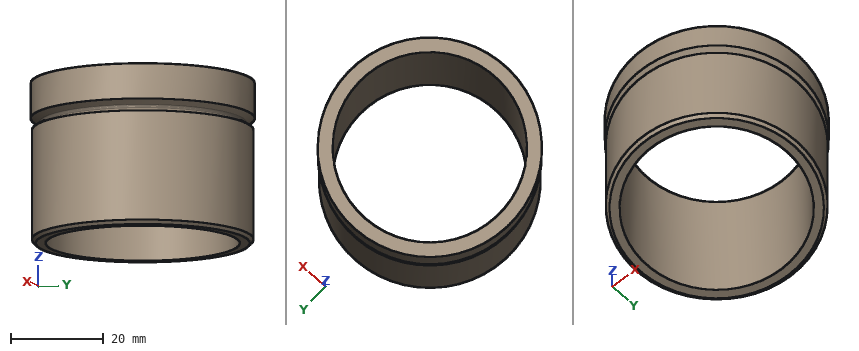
import cadquery as cq
import math

height = 35.0
collar_radius = 24.15
body_radius = 23.9
bore_radius = 20.9
collar_height = 7.75
bottom_chamfer = 0.8

groove_root_radius = 22.25
root_flat = 0.25
root_round = 0.25
flank_slope = math.radians(30)

tangent_radius = groove_root_radius + root_round * (1 - math.sin(flank_slope))
tangent_rise = root_flat / 2 + root_round * math.cos(flank_slope)

arc_middle_angle = (math.pi / 2 - flank_slope) / 2
arc_middle_radius = groove_root_radius + root_round * (1 - math.cos(arc_middle_angle))
arc_middle_rise = root_flat / 2 + root_round * math.sin(arc_middle_angle)


def groove_half_width(radius):
    """Height from the groove centre to its flank at a given radius."""
    return tangent_rise + (radius - tangent_radius) * math.tan(flank_slope)


collar_bottom = height - collar_height
groove_center = collar_bottom - groove_half_width(collar_radius)
body_top = groove_center - groove_half_width(body_radius)

section = (
    cq.Workplane("XZ")
    .moveTo(bore_radius, 0)
    .lineTo(body_radius - bottom_chamfer, 0)
    .lineTo(body_radius, bottom_chamfer)
    .lineTo(body_radius, body_top)
    .lineTo(tangent_radius, groove_center - tangent_rise)
    .threePointArc(
        (arc_middle_radius, groove_center - arc_middle_rise),
        (groove_root_radius, groove_center - root_flat / 2),
    )
    .lineTo(groove_root_radius, groove_center + root_flat / 2)
    .threePointArc(
        (arc_middle_radius, groove_center + arc_middle_rise),
        (tangent_radius, groove_center + tangent_rise),
    )
    .lineTo(collar_radius, collar_bottom)
    .lineTo(collar_radius, height)
    .lineTo(bore_radius, height)
    .close()
)

result = section.revolve(360, (0, 0, 0), (0, 1, 0))